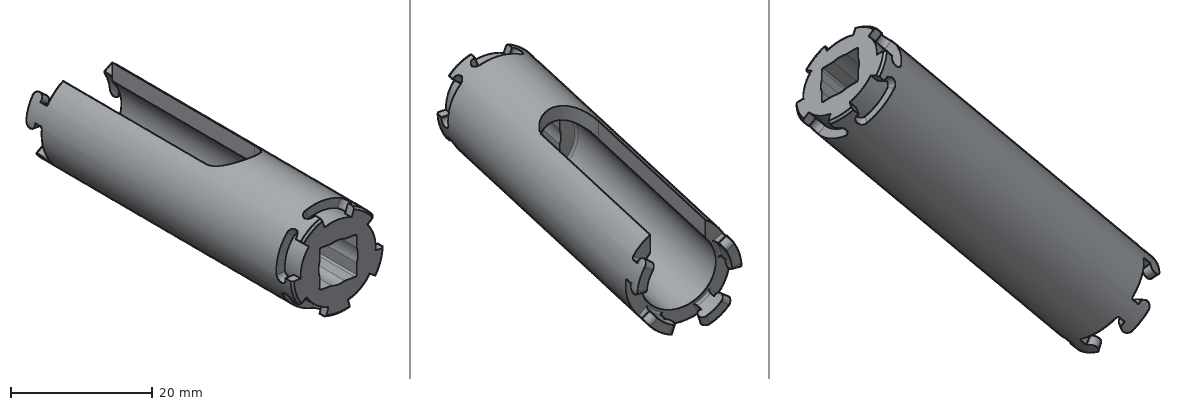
import cadquery as cq
import math

length = 60.0
outer_radius = 8.4
bore_diameter = 12.2
bore_radius = bore_diameter / 2
bore_end = 45.0
bore_end_fillet = 0.35
end_chamfer = 0.35

window_half_width = 4.45
window_end = 39.95

drive_width = 6.7
drive_diameter = 7.15
drive_corner_radius = 0.3

coupling_count = 5
coupling_pitch = 360 / coupling_count
first_angle = 90.0
coupling_radius = 6.85

tab_length = 3.5
tab_head_length = 2.0
tab_neck_angle = 10.9
tab_lobe_angle = 12.8
tab_root_fillet = 0.35

socket_depth = 3.55
socket_head_length = 2.05
socket_neck_angle = 20.8
socket_lobe_angle = 22.2

overrun = 1.2
lobe_overrun = 0.3
cut_radius = outer_radius + overrun


def at_angle(shape, angle):
    """Turn a shape that points along +Y by the given angle from +Y towards +Z."""
    return shape.rotate((0, 0, 0), (1, 0, 0), angle)


def disc(x_start, x_end, radius):
    return cq.Workplane("YZ", origin=(x_start, 0, 0)).circle(radius).extrude(x_end - x_start)


def ring(x_start, x_end, inner_radius, ring_radius):
    return disc(x_start, x_end, ring_radius).cut(disc(x_start, x_end, inner_radius))


def wedge(x_start, x_end, half_angle):
    """Sector about the X axis, reaching half_angle to either side of +Y."""
    spread = math.radians(half_angle)
    corner_y = cut_radius * math.cos(spread)
    corner_z = cut_radius * math.sin(spread)
    return (
        cq.Workplane("YZ", origin=(x_start, 0, 0))
        .lineTo(corner_y, -corner_z)
        .threePointArc((cut_radius, 0), (corner_y, corner_z))
        .close()
        .extrude(x_end - x_start)
    )


def lobe(x_center, radius):
    """Round end of a T head, along +Y: constant along X, narrowing towards the axis."""
    near = coupling_radius - overrun
    far = outer_radius + lobe_overrun
    return (
        cq.Workplane("XZ", origin=(x_center, near, 0))
        .ellipse(radius, radius * near / far)
        .workplane(offset=near - far)
        .ellipse(radius, radius)
        .loft(ruled=True)
    )


def t_shape(head_start, head_length, neck_end, neck_angle, lobe_angle):
    """T with radial walls, pointing along +Y: a round-ended head with a narrower neck towards +X."""
    head = wedge(head_start, head_start + head_length, lobe_angle)
    shape = head.union(wedge(head_start, neck_end, neck_angle))
    lobe_radius = head_length / 2
    for side in (-1, 1):
        shape = shape.union(at_angle(lobe(head_start + lobe_radius, lobe_radius), side * lobe_angle))
    return shape


def make_barrel():
    """Blind-bored barrel, counterbored to the inner radius of the tabs."""
    barrel = disc(0, length, outer_radius).faces(">X").chamfer(end_chamfer)
    bore = disc(0, bore_end, bore_radius).faces(">X").edges().fillet(bore_end_fillet)
    counterbore = disc(0, tab_length, coupling_radius).faces(">X").edges().fillet(tab_root_fillet)
    return barrel.cut(bore).cut(counterbore)


def make_drive_hole():
    hole_start = bore_end - overrun
    hole_end = length + overrun
    square = (
        cq.Workplane("YZ", origin=(hole_start, 0, 0))
        .rect(drive_width, drive_width)
        .extrude(hole_end - hole_start)
        .edges("|X")
        .fillet(drive_corner_radius)
    )
    return square.union(disc(hole_start, hole_end, drive_diameter / 2))


def make_window():
    arc_center = window_end - window_half_width
    return (
        cq.Workplane("XY")
        .moveTo(-overrun, -window_half_width)
        .lineTo(arc_center, -window_half_width)
        .threePointArc((window_end, 0), (arc_center, window_half_width))
        .lineTo(-overrun, window_half_width)
        .close()
        .extrude(cut_radius)
    )


def make_tab_gaps(angles):
    """Spaces between the tabs, with edges rounded where the necks meet the mouth face."""
    tab = t_shape(0, tab_head_length, tab_length + overrun, tab_neck_angle, tab_lobe_angle)
    gaps = ring(0, tab_length, bore_radius - overrun, cut_radius)
    for angle in angles:
        gaps = gaps.cut(at_angle(tab, angle))
    return gaps.faces(">X").edges("%LINE").fillet(tab_root_fillet)


def make_socket():
    socket_start = length - socket_depth
    socket_end = length + overrun
    socket = t_shape(socket_start, socket_head_length, socket_end, socket_neck_angle, socket_lobe_angle)
    return socket.cut(disc(socket_start, socket_end, coupling_radius))


coupling_angles = [first_angle + i * coupling_pitch for i in range(coupling_count)]

result = make_barrel().cut(make_drive_hole()).cut(make_tab_gaps(coupling_angles))

socket_cutter = make_socket()
for socket_angle in coupling_angles:
    result = result.cut(at_angle(socket_cutter, socket_angle))

result = result.cut(make_window())